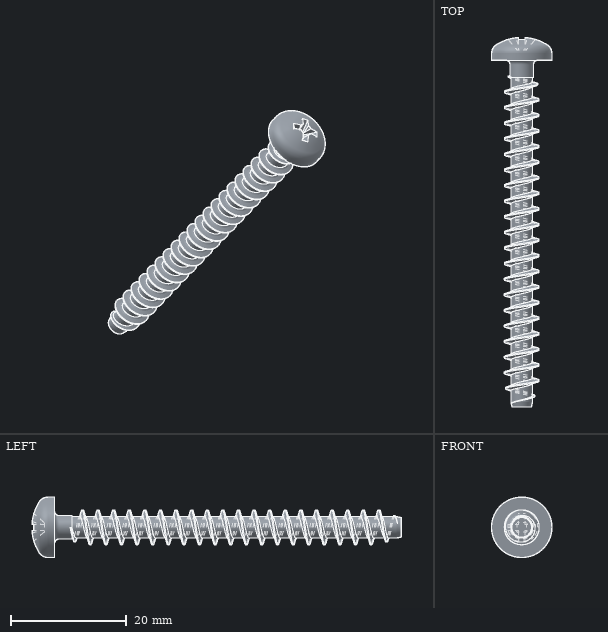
import cadquery as cq
import math


head_radius = 10.5 / 2
head_height = 4.0
rim_height = 1.2
crown_edge_radius = 4.1
crown_drop = 1.13
shoulder_bulge = 0.3

recess_depth = 2.2
recess_arm_width = 1.05
recess_span = 5.4
recess_floor_span = 1.6
recess_core_radius = 1.13
recess_core_floor_radius = 0.6

shank_length = 60.0
neck_radius = 4.1 / 2
neck_length = 3.0
neck_fillet = 0.75
core_radius = 3.75 / 2
tip_radius = 3.4 / 2
tip_start = 59.2

pitch = 2.7
thread_radius = 6.05 / 2
crest_width = 0.2
foot_radius = 2.25
foot_width = 0.55
base_width = 1.2
base_depth = 0.2
thread_start = 2.78
thread_start_angle = math.pi
spline_points_per_turn = 24
fade_in_turns = 0.8
full_turns = 19
fade_out_turns = 1.15
fade_in_scale = 0.5
fade_out_scale = 0.12


def head():
    """Pan head: cylindrical rim, rounded shoulder and shallow spherical crown."""
    edge_height = head_height - crown_drop
    crown_sphere_radius = (crown_edge_radius**2 + crown_drop**2) / (2 * crown_drop)
    crown_mid_radius = crown_edge_radius / 2
    crown_mid_drop = crown_sphere_radius - math.sqrt(crown_sphere_radius**2 - crown_mid_radius**2)

    chord_r = head_radius - crown_edge_radius
    chord_z = edge_height - rim_height
    chord = math.hypot(chord_r, chord_z)
    shoulder_mid = (
        (head_radius + crown_edge_radius) / 2 + shoulder_bulge * chord_z / chord,
        -(rim_height + edge_height) / 2 - shoulder_bulge * chord_r / chord,
    )
    return (
        cq.Workplane("XZ")
        .lineTo(head_radius, 0)
        .lineTo(head_radius, -rim_height)
        .threePointArc(shoulder_mid, (crown_edge_radius, -edge_height))
        .threePointArc((crown_mid_radius, crown_mid_drop - head_height), (0, -head_height))
        .close()
        .revolve(360, (0, 0, 0), (0, 1, 0))
    )


def cross_recess():
    """Two crossed blades that narrow with depth around a tapered round core."""
    top = -head_height
    floor = top + recess_depth
    core = (
        cq.Workplane("XY", origin=(0, 0, top))
        .circle(recess_core_radius)
        .workplane(offset=recess_depth)
        .circle(recess_core_floor_radius)
        .loft(ruled=True)
    )
    blade_outline = [
        (-recess_span / 2, top),
        (recess_span / 2, top),
        (recess_floor_span / 2, floor),
        (-recess_floor_span / 2, floor),
    ]
    blade = cq.Workplane("XZ").polyline(blade_outline).close().extrude(recess_arm_width / 2, both=True)
    crossing_blade = blade.rotate((0, 0, 0), (0, 0, 1), 90)
    return core.union(blade).union(crossing_blade)


def shank():
    """Neck with a fillet under the head, then the core and the tapered tip."""
    fillet_middle = neck_fillet * (1 - math.sqrt(0.5))
    return (
        cq.Workplane("XZ")
        .lineTo(neck_radius + neck_fillet, 0)
        .threePointArc((neck_radius + fillet_middle, fillet_middle), (neck_radius, neck_fillet))
        .lineTo(neck_radius, neck_length)
        .lineTo(core_radius, neck_length)
        .lineTo(core_radius, tip_start)
        .lineTo(tip_radius, shank_length)
        .lineTo(0, shank_length)
        .close()
        .revolve(360, (0, 0, 0), (0, 1, 0))
    )


def thread_profile(scale):
    """Closed outline of the rib as (radius, axial offset), scaled about its buried base."""
    base_radius = core_radius - base_depth
    upper_side = [
        (base_radius, base_width / 2),
        (foot_radius, foot_width / 2),
        (thread_radius, crest_width / 2),
    ]
    lower_side = [(radius, -offset) for radius, offset in reversed(upper_side)]
    return [
        (base_radius + scale * (radius - base_radius), scale * offset)
        for radius, offset in upper_side + lower_side
    ]


def full_edge(corner, first_turn):
    """True helix that carries one profile corner along the full-height thread."""
    radius, offset = corner
    helix = cq.Wire.makeHelix(pitch, pitch * full_turns, radius)
    start_angle = math.degrees(thread_start_angle + math.tau * first_turn)
    start_height = thread_start + pitch * first_turn + offset
    turned = helix.rotate(cq.Vector(0, 0, 0), cq.Vector(0, 0, 1), start_angle)
    return turned.translate(cq.Vector(0, 0, start_height)).Edges()[0]


def fading_edge(start_corner, end_corner, first_turn, turns):
    """Spline along the helix that drifts from one profile corner to its scaled twin."""
    start_radius, start_offset = start_corner
    end_radius, end_offset = end_corner
    steps = math.ceil(turns * spline_points_per_turn)
    points = []
    for step in range(steps + 1):
        progress = step / steps
        turn = first_turn + progress * turns
        angle = thread_start_angle + math.tau * turn
        radius = start_radius + progress * (end_radius - start_radius)
        offset = start_offset + progress * (end_offset - start_offset)
        height = thread_start + pitch * turn + offset
        points.append(cq.Vector(radius * math.cos(angle), radius * math.sin(angle), height))
    return cq.Edge.makeSpline(points)


def end_cap(corners):
    """Flat face that closes one end of the rib."""
    return cq.Face.makeFromWires(cq.Wire.makePolygon(corners, close=True))


def thread():
    """Helical rib on a flared foot: fade-in, full thread and fade-out in one solid."""
    full_profile = thread_profile(1)
    fade_out_turn = fade_in_turns + full_turns
    fade_in_edges = [
        fading_edge(start, end, 0, fade_in_turns)
        for start, end in zip(thread_profile(fade_in_scale), full_profile)
    ]
    full_edges = [full_edge(corner, fade_in_turns) for corner in full_profile]
    fade_out_edges = [
        fading_edge(start, end, fade_out_turn, fade_out_turns)
        for start, end in zip(full_profile, thread_profile(fade_out_scale))
    ]
    faces = [
        end_cap([edge.startPoint() for edge in fade_in_edges]),
        end_cap([edge.endPoint() for edge in fade_out_edges]),
    ]
    for edges in (fade_in_edges, full_edges, fade_out_edges):
        for edge, next_edge in zip(edges, edges[1:] + edges[:1]):
            faces.append(cq.Face.makeRuledSurface(edge, next_edge))
    return cq.Workplane(cq.Solid.makeSolid(cq.Shell.makeShell(faces)))


screw = shank().union(head()).cut(cross_recess()).union(thread())
result = screw.rotate((0, 0, 0), (1, 0, 0), 90).solids()